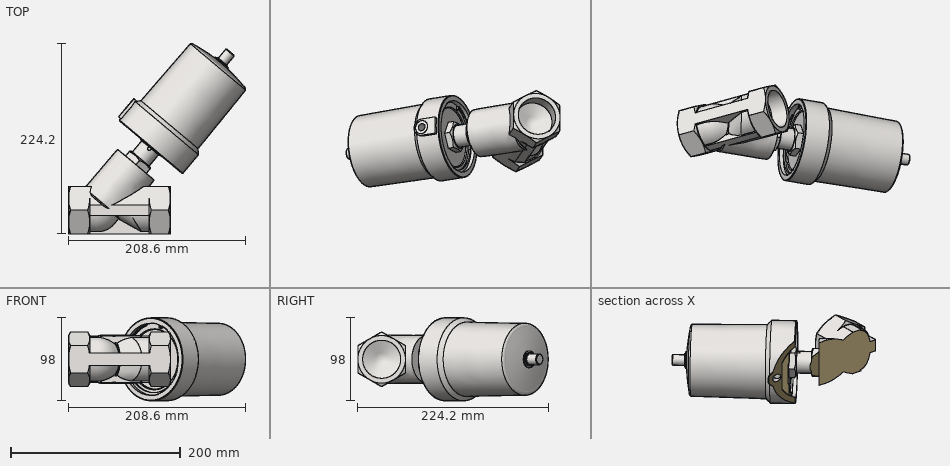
import cadquery as cq
import math

BODY_LENGTH = 120.0
HEX_FLATS = 56.0
HEX_LENGTH = 25.0
HEX_CHAMFER_ANGLE = 30.0
PORT_DIAMETER = 44.84
PORT_DEPTH = 20.0
PORT_CONE_DEPTH = 11.0
HEX_CORNERS = HEX_FLATS / math.cos(math.radians(30))
HALF_LENGTH = BODY_LENGTH / 2
HALF_WAIST = HALF_LENGTH - HEX_LENGTH
HEX_CHAMFER = (HEX_CORNERS - HEX_FLATS) / 2 * math.tan(math.radians(HEX_CHAMFER_ANGLE))

WEB_THICKNESS = 15.0
RIB_WIDTH = 12.0
RIB_HEIGHT = 27.3
SHOULDER_Y = 14.0
PIPE_RADIUS = 26.4
ELBOW_X = 10.0
ELBOW_ANGLE = 32.0
THROAT_LENGTH = 14.0
THROAT_HALF_WIDTH = 20.0
THROAT_HALF_HEIGHT = 24.5
THROAT_OFFSET = 14.5

AXIS_ANGLE = 50.0
AXIS_START_X = -25.6
NECK_START = 8.3
NECK_CHAMFER_WIDTH = 1.0
NECK_CHAMFER_LENGTH = 1.7
NECK_RIM_START = 62.5
NECK_END = 70.0
NECK_BASE_RADIUS = 28.7
NECK_RIM_RADIUS = 28.4
NECK_TOP_RADIUS = 28.1

BONNET_FLATS = 32.0
BONNET_CORNERS = BONNET_FLATS / math.cos(math.radians(30))
LOWER_HEX_HEIGHT = 8.7
UPPER_HEX_HEIGHT = 9.0
TUBE_DIAMETER = 26.0
HEX_TOP_DIAMETER = 29.0
VENT_DIAMETER = 4.0
VENT_POSITION = 94.5
VENT_DEPTH = 5.0

COLLAR_START = 97.0
COLLAR_END = 126.3
SHOULDER_END = 131.5
HOUSING_EDGE = 220.25
DOME_START = 222.4
DOME_END = 226.0
COLLAR_RADIUS = 49.0
COLLAR_CHAMFER = 0.8
HOUSING_BASE_RADIUS = 44.0
HOUSING_EDGE_RADIUS = 42.6
DOME_RADIUS = 38.0
DOME_TOP_RADIUS = 10.0
DOME_CROWN = 0.4
EDGE_BULGE_DROP = 0.8
EDGE_BULGE_RADIUS = 41.1
RECESS_DIAMETER = 85.0

RING_DEPTH = 4.7
RING_THICKNESS = 2.0
RING_INNER_RADIUS = 40.3
RING_INNER_OFFSET = 1.0
RING_GAP_ANGLE = 32.0
LUG_RADIUS = 2.3
LUG_HOLE_DIAMETER = 1.5
PLATE_THICKNESS = 8.0
PLATE_DISH_RADIUS = 36.0
PLATE_DISH_FLOOR_RADIUS = 35.0
PLATE_DISH_DEPTH = 1.3

PAD_START = 100.0
PAD_WIDTH = 20.0
PAD_HEIGHT = 52.0
AIR_PORT_POSITION = 118.0
AIR_PORT_DIAMETER = 8.7
AIR_PORT_DEPTH = 15.0
SPOTFACE_DIAMETER = 16.0
SPOTFACE_DEPTH = 0.3

INDICATOR_FLANGE_DIAMETER = 20.0
INDICATOR_STEP_DIAMETER = 16.0
INDICATOR_DIAMETER = 13.0
INDICATOR_FLANGE_HEIGHT = 1.2
INDICATOR_STEP_HEIGHT = 1.2
INDICATOR_END = 243.0
INDICATOR_CHAMFER = 0.8

RING_FRONT = COLLAR_START + RING_DEPTH
PLATE_FRONT = RING_FRONT + RING_THICKNESS
PLATE_FLOOR = PLATE_FRONT + PLATE_DISH_DEPTH
PLATE_BACK = PLATE_FRONT + PLATE_THICKNESS

ANGLE = math.radians(AXIS_ANGLE)
AXIS_DIRECTION = cq.Vector(math.cos(ANGLE), math.sin(ANGLE), 0)
ACROSS_DIRECTION = cq.Vector(-math.sin(ANGLE), math.cos(ANGLE), 0)


def valve_plane(position):
    """Plane square to the inclined axis; its local y is the global Z."""
    origin = cq.Vector(AXIS_START_X, 0, 0) + AXIS_DIRECTION * position
    return cq.Plane(origin=origin, xDir=ACROSS_DIRECTION, normal=AXIS_DIRECTION)


def cylinder(start, end, radius):
    return cq.Workplane(valve_plane(start)).circle(radius).extrude(end - start)


def lengthwise_sketch():
    """Sketch of (radius, position) points, to be turned about the inclined axis."""
    base = valve_plane(0)
    return cq.Workplane(cq.Plane(origin=base.origin, xDir=base.xDir, normal=-base.yDir))


def turned(points):
    return lengthwise_sketch().polyline(points).close().revolve(360, (0, 0), (0, 1))


def body_hexagon(start):
    """Hexagon on the pipe run, with both ends turned to a cone at the corners."""
    end = start + HEX_LENGTH
    flat = HEX_FLATS / 2
    corner = HEX_CORNERS / 2
    prism = cq.Workplane("YZ", origin=(start, 0, 0)).polygon(6, HEX_CORNERS).extrude(HEX_LENGTH)
    prism = prism.rotate((0, 0, 0), (1, 0, 0), 90)
    envelope = (
        cq.Workplane("XY")
        .polyline([(start, 0), (start, flat), (start + HEX_CHAMFER, corner),
                   (end - HEX_CHAMFER, corner), (end, flat), (end, 0)])
        .close()
        .revolve(360, (0, 0), (1, 0))
    )
    return prism.intersect(envelope)


def waist():
    """Web, ribs and shoulders that join the two hexagons, mirrored about Z = 0."""
    back = HEX_FLATS / 2
    web = WEB_THICKNESS / 2
    rib = RIB_WIDTH / 2
    slope = math.tan(math.radians(30))
    shoulder_z = HEX_CORNERS / 2 - SHOULDER_Y * slope
    upper = [(-back, web), (-rib, web), (-rib, RIB_HEIGHT), (rib, RIB_HEIGHT)]
    section = upper + [(SHOULDER_Y, shoulder_z), (back, HEX_CORNERS / 4)]
    section += [(y, -z) for y, z in reversed(section)]
    overlap = HALF_WAIST + HEX_CHAMFER
    return cq.Workplane("YZ").polyline(section).close().extrude(overlap, both=True)


def inlet_passage():
    straight = AXIS_START_X + HALF_WAIST
    pipe = cq.Workplane("YZ", origin=(-HALF_WAIST, 0, 0)).circle(PIPE_RADIUS).extrude(straight)
    return pipe.union(cq.Workplane("XY", origin=(AXIS_START_X, 0, 0)).sphere(PIPE_RADIUS))


def outlet_passage():
    """Outlet pipe, cut off at a slant, and a throat that narrows from there toward the seat."""
    angle = math.radians(ELBOW_ANGLE)
    slant = cq.Plane(
        origin=(ELBOW_X, 0, 0),
        xDir=(-math.sin(angle), math.cos(angle), 0),
        normal=(-math.cos(angle), -math.sin(angle), 0),
    )
    pipe = cq.Workplane("YZ").circle(PIPE_RADIUS).extrude(HALF_WAIST, both=True)
    outlet_side = cq.Workplane(slant).rect(BODY_LENGTH, BODY_LENGTH).extrude(-BODY_LENGTH)
    throat = (
        cq.Workplane(slant)
        .ellipse(PIPE_RADIUS / math.cos(angle), PIPE_RADIUS)
        .workplane(offset=THROAT_LENGTH)
        .center(THROAT_OFFSET, 0)
        .ellipse(THROAT_HALF_WIDTH, THROAT_HALF_HEIGHT)
        .loft()
    )
    return pipe.intersect(outlet_side).union(throat)


def seat_chamber():
    """Chamber about the inclined axis that carries on smoothly from the inlet elbow."""
    return cylinder(0, NECK_RIM_START, PIPE_RADIUS)


def neck():
    return turned([
        (0, NECK_START), (NECK_BASE_RADIUS - NECK_CHAMFER_WIDTH, NECK_START),
        (NECK_BASE_RADIUS, NECK_START + NECK_CHAMFER_LENGTH), (NECK_RIM_RADIUS, NECK_RIM_START),
        (NECK_TOP_RADIUS, NECK_END), (0, NECK_END),
    ])


def pipe_port():
    """Blind port with a conical end, opening at the -X face."""
    radius = PORT_DIAMETER / 2
    bottom = -HALF_LENGTH + PORT_DEPTH
    profile = [(-HALF_LENGTH, 0), (-HALF_LENGTH, radius), (bottom, radius), (bottom + PORT_CONE_DEPTH, 0)]
    return cq.Workplane("XY").polyline(profile).close().revolve(360, (0, 0), (1, 0))


def make_valve_body():
    body = waist().union(inlet_passage()).union(outlet_passage())
    body = body.union(seat_chamber()).union(neck())
    for start in (-HALF_LENGTH, HALF_WAIST):
        body = body.union(body_hexagon(start))
    port = pipe_port()
    return body.cut(port).cut(port.mirror("YZ"))


def bonnet_hexagon(start, height, turn, chamfer_at_end):
    """Bonnet hexagon with one end turned to a cone at the corners."""
    prism = cq.Workplane(valve_plane(start)).transformed(rotate=(0, 0, turn))
    prism = prism.polygon(6, BONNET_CORNERS).extrude(height)
    corner = BONNET_CORNERS / 2
    face = HEX_TOP_DIAMETER / 2
    drop = (corner - face) * math.tan(math.radians(HEX_CHAMFER_ANGLE))
    end = start + height
    if chamfer_at_end:
        profile = [(0, start), (corner, start), (corner, end - drop), (face, end), (0, end)]
    else:
        profile = [(0, start), (face, start), (corner, start + drop), (corner, end), (0, end)]
    return prism.intersect(turned(profile))


def make_bonnet():
    upper_start = PLATE_FLOOR - UPPER_HEX_HEIGHT
    bonnet = cylinder(NECK_END, PLATE_FLOOR, TUBE_DIAMETER / 2)
    bonnet = bonnet.union(bonnet_hexagon(NECK_END, LOWER_HEX_HEIGHT, 30, True))
    bonnet = bonnet.union(bonnet_hexagon(upper_start, UPPER_HEX_HEIGHT, 0, False))
    vent_origin = valve_plane(VENT_POSITION).origin + cq.Vector(0, 0, TUBE_DIAMETER / 2)
    vent = cq.Workplane("XY", origin=vent_origin.toTuple()).circle(VENT_DIAMETER / 2).extrude(-VENT_DEPTH)
    return bonnet.cut(vent)


def pad_plane(height):
    """Plane facing out of the pad; its local x runs along the inclined axis."""
    origin = valve_plane(AIR_PORT_POSITION).origin + ACROSS_DIRECTION * height
    return cq.Plane(origin=origin, xDir=AXIS_DIRECTION, normal=ACROSS_DIRECTION)


def air_port_pad():
    """Pad with a square lower end and a round end about the air port."""
    length = AIR_PORT_POSITION - PAD_START
    base = HOUSING_BASE_RADIUS - PAD_WIDTH / 2
    height = PAD_HEIGHT - base
    block = cq.Workplane(pad_plane(base)).center(-length / 2, 0).rect(length, PAD_WIDTH).extrude(height)
    return block.union(cq.Workplane(pad_plane(base)).circle(PAD_WIDTH / 2).extrude(height))


def make_housing():
    edge_bulge = (EDGE_BULGE_RADIUS, DOME_START - EDGE_BULGE_DROP)
    dome_bulge = ((DOME_RADIUS + DOME_TOP_RADIUS) / 2, (DOME_START + DOME_END) / 2 + DOME_CROWN)
    shell = (
        lengthwise_sketch()
        .moveTo(0, COLLAR_START)
        .lineTo(COLLAR_RADIUS - COLLAR_CHAMFER, COLLAR_START)
        .lineTo(COLLAR_RADIUS, COLLAR_START + COLLAR_CHAMFER)
        .lineTo(COLLAR_RADIUS, COLLAR_END)
        .lineTo(HOUSING_BASE_RADIUS, SHOULDER_END)
        .lineTo(HOUSING_EDGE_RADIUS, HOUSING_EDGE)
        .threePointArc(edge_bulge, (DOME_RADIUS, DOME_START))
        .threePointArc(dome_bulge, (DOME_TOP_RADIUS, DOME_END))
        .lineTo(0, DOME_END)
        .close()
        .revolve(360, (0, 0), (0, 1))
    )
    housing = shell.union(air_port_pad())
    housing = housing.cut(cylinder(COLLAR_START, PLATE_BACK, RECESS_DIAMETER / 2))
    top = cq.Workplane(pad_plane(PAD_HEIGHT))
    housing = housing.cut(top.circle(SPOTFACE_DIAMETER / 2).extrude(-SPOTFACE_DEPTH))
    return housing.cut(top.circle(AIR_PORT_DIAMETER / 2).extrude(-AIR_PORT_DEPTH))


def make_end_plate():
    rim = RECESS_DIAMETER / 2
    return turned([
        (0, PLATE_FLOOR), (PLATE_DISH_FLOOR_RADIUS, PLATE_FLOOR), (PLATE_DISH_RADIUS, PLATE_FRONT),
        (rim, PLATE_FRONT), (rim, PLATE_BACK), (0, PLATE_BACK),
    ])


def make_retaining_ring():
    """Open ring with a gap about +Z and an eyelet at one end."""
    outer = RECESS_DIAMETER / 2
    half_gap = math.radians(RING_GAP_ANGLE / 2)
    reach = 2 * outer
    ring = cylinder(RING_FRONT, PLATE_FRONT, outer)
    opening = cq.Workplane(valve_plane(RING_FRONT)).center(0, RING_INNER_OFFSET).circle(RING_INNER_RADIUS)
    ring = ring.cut(opening.extrude(RING_THICKNESS))
    wedge = [(0, 0), (reach * math.sin(half_gap), reach * math.cos(half_gap)),
             (-reach * math.sin(half_gap), reach * math.cos(half_gap))]
    ring = ring.cut(cq.Workplane(valve_plane(RING_FRONT)).polyline(wedge).close().extrude(RING_THICKNESS))
    eye_radius = outer - LUG_RADIUS
    face = cq.Workplane(valve_plane(RING_FRONT))
    face = face.center(-eye_radius * math.sin(half_gap), eye_radius * math.cos(half_gap))
    ring = ring.union(face.circle(LUG_RADIUS).extrude(RING_THICKNESS))
    return ring.cut(face.circle(LUG_HOLE_DIAMETER / 2).extrude(RING_THICKNESS))


def make_indicator():
    flange_end = DOME_END + INDICATOR_FLANGE_HEIGHT
    step_end = flange_end + INDICATOR_STEP_HEIGHT
    indicator = cylinder(DOME_END, flange_end, INDICATOR_FLANGE_DIAMETER / 2)
    indicator = indicator.union(cylinder(flange_end, step_end, INDICATOR_STEP_DIAMETER / 2))
    stem = cylinder(step_end, INDICATOR_END, INDICATOR_DIAMETER / 2)
    stem = stem.faces(cq.selectors.DirectionMinMaxSelector(AXIS_DIRECTION)).chamfer(INDICATOR_CHAMFER)
    return indicator.union(stem)


valve_body = make_valve_body()
bonnet = make_bonnet()
housing = make_housing()
end_plate = make_end_plate()
retaining_ring = make_retaining_ring()
indicator = make_indicator()

result = cq.Compound.makeCompound([
    valve_body.val(),
    bonnet.val(),
    housing.val(),
    end_plate.val(),
    retaining_ring.val(),
    indicator.val(),
])